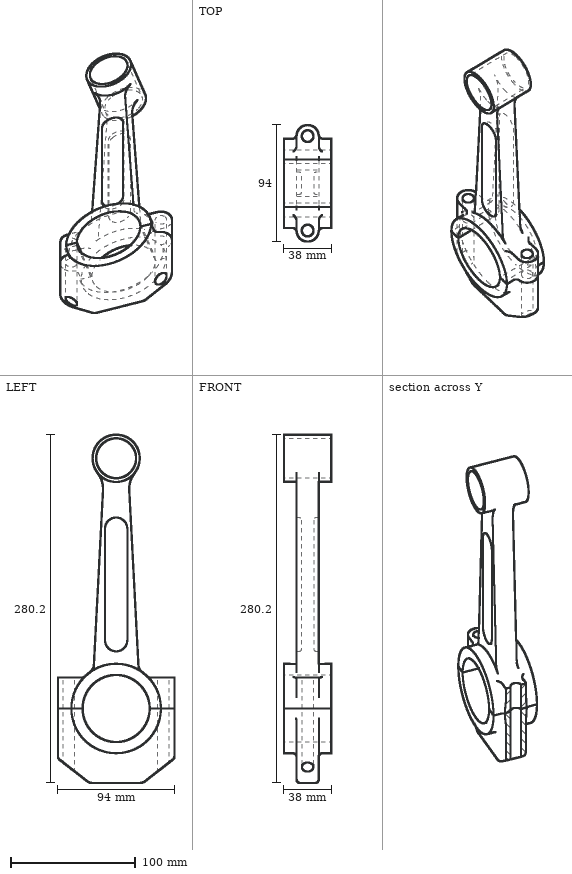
import cadquery as cq
import math

total_height = 280.2

eye_length = 38.0
crank_diameter = 72.0
crank_radius = crank_diameter / 2
crank_bore_radius = 27.0

piston_radius = 19.0
piston_bore_radius = 16.0

block_width = 94.0
block_thickness = 18.0
lug_radius = block_thickness / 2
bolt_offset = block_width / 2 - lug_radius
bolt_hole_diameter = 9.2
lug_top = 25.0
block_fillet = 3.0

cap_depth = 60.0
cap_slope_start = 40.0
cap_slope_angle = 38.0
cap_corner_radius = 7.0
cap_edge_fillet = 2.8

piston_height = total_height - cap_depth - piston_radius
shank_taper = 3.0
shank_base_height = 28.0
shank_top_height = 180.7
shank_top_half_width = 10.5
crank_neck_fillet = 7.5
piston_neck_fillet = 21.0

pocket_width = 18.0
pocket_bottom = 46.0
pocket_top = 153.5
pocket_depth = 4.0
pocket_floor_fillet = 1.7


def cylinder_x(radius, length, height=0.0):
    """Cylinder along X, centred on X = 0, with its axis at the given height."""
    return cq.Workplane("YZ", origin=(-length / 2, 0, height)).circle(radius).extrude(length)


def bolt_block():
    """Round-ended column holding both bolts, with its lower corners sloped and its lower edge rounded."""
    height = lug_top + cap_depth
    column = (
        cq.Workplane("XY", origin=(0, 0, -cap_depth))
        .slot2D(block_width, block_thickness, 90)
        .extrude(height)
    )
    half = block_width / 2
    slope_run = (cap_depth - cap_slope_start) / math.tan(math.radians(cap_slope_angle))
    profile = (
        cq.Workplane("YZ")
        .moveTo(-half, lug_top)
        .lineTo(-half, -cap_slope_start)
        .lineTo(slope_run - half, -cap_depth)
        .lineTo(half - slope_run, -cap_depth)
        .lineTo(half, -cap_slope_start)
        .lineTo(half, lug_top)
        .close()
        .extrude(block_thickness, both=True)
    )
    profile = profile.edges("|X and <Z").fillet(cap_corner_radius)
    block = column.intersect(profile)
    return block.faces("<Z").edges("|Y").fillet(cap_edge_fillet)


def crank_end():
    """Complete crank end, bored and drilled, before it is split into rod and cap."""
    eye = cylinder_x(crank_radius, eye_length)
    end = bolt_block().union(eye)
    corner = cq.Vector(block_thickness / 2 + block_fillet, bolt_offset, crank_radius + block_fillet)
    around_eye = cq.selectors.BoxSelector((-corner).toTuple(), corner.toTuple(), boundingbox=True)
    end = end.edges(around_eye).edges("not |Y").fillet(block_fillet)
    end = end.cut(cylinder_x(crank_bore_radius, eye_length))
    holes = (
        cq.Workplane("XY", origin=(0, 0, -cap_depth))
        .pushPoints([(0, bolt_offset), (0, -bolt_offset)])
        .circle(bolt_hole_diameter / 2)
        .extrude(cap_depth + lug_top)
    )
    return end.cut(holes)


def half_of(shape, direction):
    """The part of the shape above (+1) or below (-1) the split plane Z = 0."""
    size = 2 * total_height
    side = cq.Workplane("XY").rect(size, size).extrude(direction * size)
    return shape.intersect(side)


def shank_half_width(height):
    """Half of the tapered shank's width along Y at the given height."""
    return shank_top_half_width + (shank_top_height - height) * math.tan(math.radians(shank_taper))


def shank():
    """Tapered flat bar running from the crank eye wall to the piston eye axis."""
    base = shank_half_width(shank_base_height)
    top = shank_half_width(piston_height)
    return (
        cq.Workplane("YZ", origin=(-block_thickness / 2, 0, 0))
        .moveTo(-base, shank_base_height)
        .lineTo(base, shank_base_height)
        .lineTo(top, piston_height)
        .lineTo(-top, piston_height)
        .close()
        .extrude(block_thickness)
    )


def lightening_pocket(side):
    """Cutter for the round-ended pocket in the +X (+1) or -X (-1) face of the shank."""
    length = pocket_top - pocket_bottom
    middle = (pocket_top + pocket_bottom) / 2
    floor = side * (block_thickness / 2 - pocket_depth)
    cutter = (
        cq.Workplane("YZ", origin=(floor, 0, middle))
        .slot2D(length, pocket_width, 90)
        .extrude(side * pocket_depth)
    )
    return cutter.faces("<X" if side > 0 else ">X").edges().fillet(pocket_floor_fillet)


def neck_edges(low, high):
    """Selector for the edges where the shank sides meet an eye, between two heights."""
    reach = 2 * shank_top_half_width
    return cq.selectors.BoxSelector((-block_thickness, -reach, low), (block_thickness, reach, high))


def connecting_rod():
    """Upper half of the crank end with the shank and the piston eye."""
    rod = half_of(crank_end(), 1).union(shank())
    rod = rod.union(cylinder_x(piston_radius, eye_length, piston_height))
    rod = rod.edges("|X").edges(neck_edges(shank_base_height, crank_radius)).fillet(crank_neck_fillet)
    rod = rod.edges("|X").edges(neck_edges(shank_top_height, piston_height)).fillet(piston_neck_fillet)
    rod = rod.cut(cylinder_x(piston_bore_radius, eye_length, piston_height))
    for side in (-1, 1):
        rod = rod.cut(lightening_pocket(side))
    return rod


def bearing_cap():
    """Lower half of the crank end."""
    return half_of(crank_end(), -1)


rod = connecting_rod()
cap = bearing_cap()
result = cq.Compound.makeCompound([rod.val(), cap.val()])